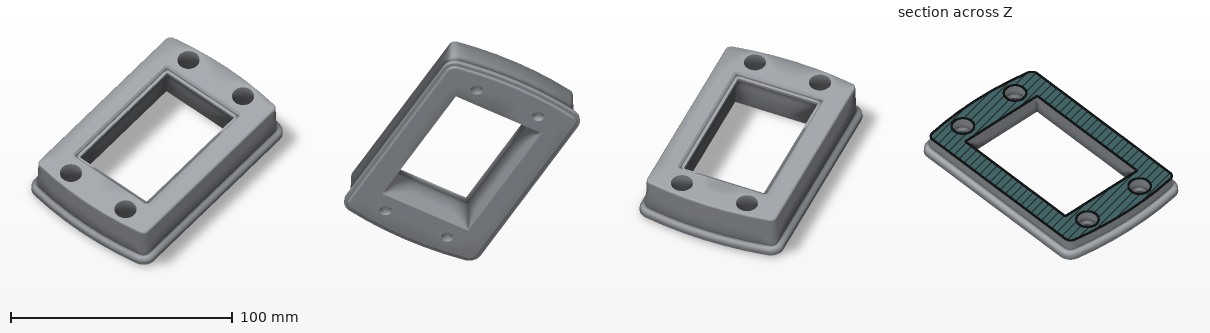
import cadquery as cq
import math

LENGTH = 105.97
WIDTH = 70.08
END_BOW_RADIUS = 175.0
CORNER_RADIUS = 6.1

FOOT_TOP = 1.0
FLANGE_TOP = 4.5
HEIGHT = 20.6

FOOT_INSET = 1.6
BODY_INSET = 2.7

DRAFT = 2.0

FOOT_ROUND = 0.95
FLANGE_ROUND = 2.0
BODY_ROUND = 1.0

WINDOW_WIDTH = 39.4
WINDOW_LENGTH = 61.9
REBATE_LEDGE = 1.4
REBATE_DEPTH = 1.9
REBATE_CORNER_RADIUS = 0.9
REBATE_CHAMFER = 1.0
REBATE_ROUND = 1.0

LIP_THICKNESS = 1.25
LIP_OVERHANG = 2.0

HOLE_SPACING_X = 32.0
HOLE_SPACING_Y = 83.0
HOLE_DIAMETER = 5.5
COUNTERBORE_DIAMETER = 10.0
COUNTERBORE_FLOOR = FLANGE_TOP


def slab(inset, bottom, top, draft=0.0):
    """Upright slab whose outline is the flange outline moved inward by inset."""
    half_width = WIDTH / 2 - inset
    half_length = LENGTH / 2 - inset
    bow_radius = END_BOW_RADIUS - inset
    corner_radius = CORNER_RADIUS - inset

    corner_x = half_width - corner_radius
    bow_center_y = half_length - bow_radius
    corner_y = bow_center_y + math.sqrt((bow_radius - corner_radius) ** 2 - corner_x**2)
    bow_angle = math.asin(corner_x / (bow_radius - corner_radius))
    middle_angle = (bow_angle + math.pi / 2) / 2

    def on_corner(angle):
        return corner_x + corner_radius * math.sin(angle), corner_y + corner_radius * math.cos(angle)

    bow_end_x, bow_end_y = on_corner(bow_angle)
    mid_x, mid_y = on_corner(middle_angle)
    outline = (
        cq.Workplane("XY", origin=(0, 0, bottom))
        .moveTo(half_width, -corner_y)
        .lineTo(half_width, corner_y)
        .threePointArc((mid_x, mid_y), (bow_end_x, bow_end_y))
        .threePointArc((0, half_length), (-bow_end_x, bow_end_y))
        .threePointArc((-mid_x, mid_y), (-half_width, corner_y))
        .lineTo(-half_width, -corner_y)
        .threePointArc((-mid_x, -mid_y), (-bow_end_x, -bow_end_y))
        .threePointArc((0, -half_length), (bow_end_x, -bow_end_y))
        .threePointArc((mid_x, -mid_y), (half_width, -corner_y))
        .close()
    )
    return outline.extrude(top - bottom, taper=draft)


def housing():
    """Foot, flange and drafted body stacked, each with its rounded edge."""
    foot = slab(FOOT_INSET, 0, FOOT_TOP).faces("<Z").edges().fillet(FOOT_ROUND)
    flange = slab(0, FOOT_TOP, FLANGE_TOP, DRAFT).faces(">Z").edges().fillet(FLANGE_ROUND)
    body = slab(BODY_INSET, FLANGE_TOP, HEIGHT, DRAFT).faces(">Z").edges().fillet(BODY_ROUND)
    return foot.union(flange).union(body)


def centered_block(width, length, bottom, top):
    return cq.Workplane("XY", origin=(0, 0, bottom)).rect(width, length).extrude(top - bottom)


def cut_rebate(part):
    """Shallow step around the window rim, its upper edge chamfered and then softened."""
    width = WINDOW_WIDTH + 2 * REBATE_LEDGE
    length = WINDOW_LENGTH + 2 * REBATE_LEDGE
    step = centered_block(width, length, HEIGHT - REBATE_DEPTH, HEIGHT)
    part = part.cut(step.edges("|Z").fillet(REBATE_CORNER_RADIUS))

    def rim_edges(height):
        margin = 0.1
        low = (-width / 2 - margin, -length / 2 - margin, height - margin)
        high = (width / 2 + margin, length / 2 + margin, height + margin)
        return cq.selectors.BoxSelector(low, high)

    part = part.edges(rim_edges(HEIGHT)).chamfer(REBATE_CHAMFER)
    return part.edges(rim_edges(HEIGHT - REBATE_CHAMFER)).fillet(REBATE_ROUND)


def cut_window(part):
    """Window opening and the drafted cavity that runs from under its lip to the base."""
    part = part.cut(centered_block(WINDOW_WIDTH, WINDOW_LENGTH, 0, HEIGHT))
    cavity_top = HEIGHT - REBATE_DEPTH - LIP_THICKNESS
    base_margin = LIP_OVERHANG + cavity_top * math.tan(math.radians(DRAFT))
    cavity = (
        cq.Workplane("XY")
        .rect(WINDOW_WIDTH + 2 * base_margin, WINDOW_LENGTH + 2 * base_margin)
        .extrude(cavity_top, taper=DRAFT)
    )
    return part.cut(cavity)


def cut_screw_holes(part):
    """Four through holes with flat-bottomed counterbores from the top."""
    return (
        part.faces(">Z")
        .workplane(origin=(0, 0, HEIGHT))
        .rect(HOLE_SPACING_X, HOLE_SPACING_Y, forConstruction=True)
        .vertices()
        .cboreHole(HOLE_DIAMETER, COUNTERBORE_DIAMETER, HEIGHT - COUNTERBORE_FLOOR)
    )


result = cut_screw_holes(cut_window(cut_rebate(housing())))